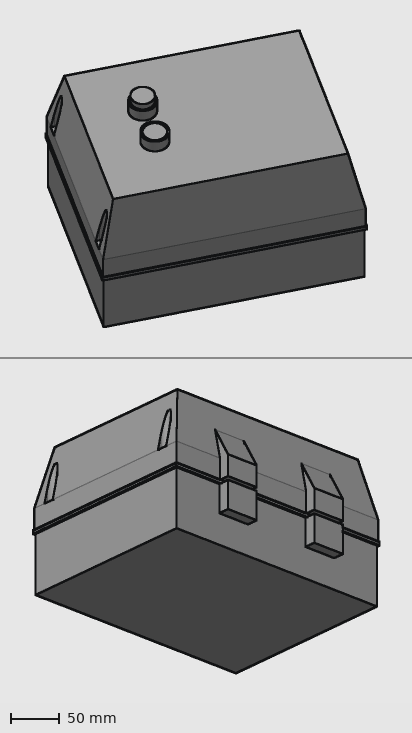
import cadquery as cq

seal_length = 283.0
seal_width = 220.2
layer_step = 2.0
lid_length = seal_length - layer_step
lid_width = seal_width - layer_step
base_length = lid_length - layer_step
base_width = lid_width - layer_step
lid_top_length = 251.3
lid_top_width = 188.2

base_top = 69.5
seal_top = 74.0
lid_step = 98.8
lid_top = 168.0
button_top = 182.0
overall_height = 189.5

latch_reach = 231.5 - seal_width
latch_face = -seal_width / 2 - latch_reach
latch_width = 40.0
latch_spacing = 120.0
latch_bottom = 36.2
latch_peak = 134.0
latch_positions = [-latch_spacing / 2, latch_spacing / 2]

recess_spacing = 173.8
recess_radius = 6.2
recess_depth = 10.2

button_spacing = 47.0
button_y = -61.5
button_radius = 15.0
plunger_radius = 12.7
dish_depth = 0.3


def block(width, length, bottom, top):
    """Rectangular block centred on the Z axis."""
    return cq.Workplane("XY").workplane(offset=bottom).rect(width, length).extrude(top - bottom)


def cylinder(x, y, radius, bottom, top):
    """Upright cylinder."""
    return cq.Workplane("XY").workplane(offset=bottom).center(x, y).circle(radius).extrude(top - bottom)


def latch_block(outline, y):
    """Latch block with the given XZ outline, centred at y."""
    return cq.Workplane("XZ", origin=(0, y, 0)).polyline(outline).close().extrude(latch_width / 2, both=True)


def screw_recess(x, side):
    """Round-ended vertical channel, open towards the end face on the given Y side."""
    center_y = side * (lid_length / 2 - recess_depth + recess_radius)
    channel_length = 2 * recess_radius
    height = lid_top - lid_step
    channel = (
        cq.Workplane("XY", origin=(x, center_y + side * channel_length / 2, lid_step))
        .rect(2 * recess_radius, channel_length)
        .extrude(height)
    )
    return channel.union(cylinder(x, center_y, recess_radius, lid_step, lid_top))


def make_base():
    """Lower box with the lower halves of the latches."""
    base = block(base_width, base_length, 0, base_top)
    wall = -base_width / 2
    outline = [
        (latch_face, latch_bottom),
        (wall, latch_bottom),
        (wall, base_top),
        (latch_face, base_top),
    ]
    for y in latch_positions:
        base = base.union(latch_block(outline, y))
    return base


def make_seal():
    """Flat layer between base and lid."""
    return block(seal_width, seal_length, base_top, seal_top)


def make_lid():
    """Tapered lid with the upper halves of the latches, screw recesses and buttons."""
    lid = block(lid_width, lid_length, seal_top, lid_step)
    hood = (
        cq.Workplane("XY", origin=(0, 0, lid_step))
        .rect(lid_width, lid_length)
        .workplane(offset=lid_top - lid_step)
        .rect(lid_top_width, lid_top_length)
        .loft(ruled=True)
    )
    lid = lid.union(hood)

    wall = -lid_width / 2
    hood_inset = (lid_width - lid_top_width) / 2
    peak_x = wall + hood_inset * (latch_peak - lid_step) / (lid_top - lid_step)
    outline = [
        (latch_face, seal_top),
        (wall, seal_top),
        (wall, lid_step),
        (peak_x, latch_peak),
        (latch_face, lid_step),
    ]
    for y in latch_positions:
        lid = lid.union(latch_block(outline, y))

    for x in [-recess_spacing / 2, recess_spacing / 2]:
        for side in [-1, 1]:
            lid = lid.cut(screw_recess(x, side))

    raised_x = -button_spacing / 2
    flush_x = button_spacing / 2
    for x in [raised_x, flush_x]:
        lid = lid.union(cylinder(x, button_y, button_radius, lid_top, button_top))
    lid = lid.union(cylinder(raised_x, button_y, plunger_radius, button_top, overall_height))
    return lid.cut(cylinder(flush_x, button_y, plunger_radius, button_top - dish_depth, button_top))


base = make_base()
seal = make_seal()
lid = make_lid()

result = cq.Compound.makeCompound([base.val(), seal.val(), lid.val()])